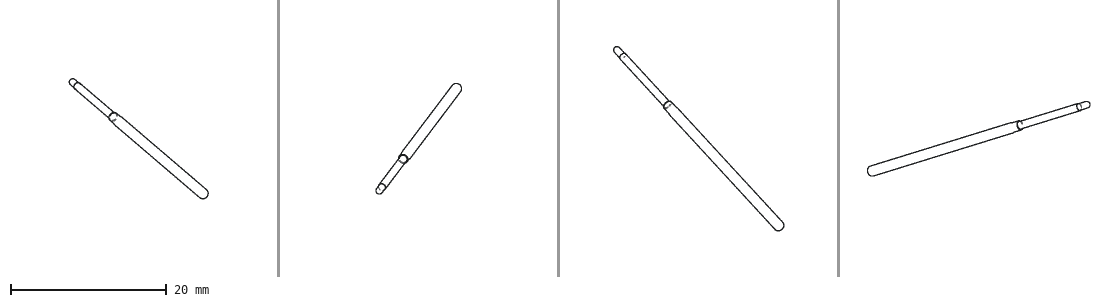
import cadquery as cq

total_length = 37.08

barrel_radius = 1.37 / 2
barrel_length = 24.0
barrel_end_round = 0.48

collar_radius = 1.26 / 2
collar_length = 1.4
collar_taper_length = 0.2

plunger_radius = 1.0 / 2
tip_radius = 0.9 / 2
tip_length = 1.7
tip_dome_radius = tip_radius

tip_x = -total_length / 2
dome_base_x = tip_x + tip_dome_radius
plunger_x = tip_x + tip_length
end_x = total_length / 2
end_round_x = end_x - barrel_end_round
end_flat_radius = barrel_radius - barrel_end_round
barrel_x = end_x - barrel_length
taper_x = barrel_x - collar_taper_length
collar_x = barrel_x - collar_length


def make_profile():
    """Half section of the probe, with the X axis as its closing edge."""
    return (
        cq.Workplane("XZ")
        .moveTo(tip_x, 0)
        .radiusArc((dome_base_x, tip_radius), tip_dome_radius)
        .lineTo(plunger_x, tip_radius)
        .lineTo(plunger_x, plunger_radius)
        .lineTo(collar_x, plunger_radius)
        .lineTo(collar_x, collar_radius)
        .lineTo(taper_x, collar_radius)
        .lineTo(barrel_x, barrel_radius)
        .lineTo(end_round_x, barrel_radius)
        .radiusArc((end_x, end_flat_radius), barrel_end_round)
        .lineTo(end_x, 0)
        .close()
    )


result = make_profile().revolve(360, (0, 0, 0), (1, 0, 0))